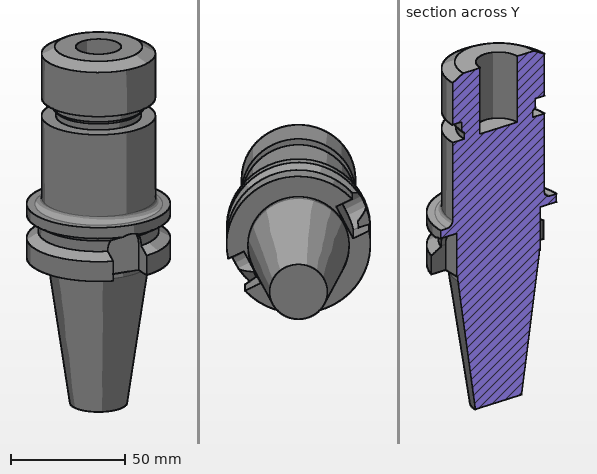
import cadquery as cq
import math

total_height = 165.4
taper_height = 65.3
flange_bottom = 67.5
flange_top = 92.5
body_top = 133.3
nut_bottom = 141.7

gauge_radius = 22.2
taper_ratio = 7 / 24
small_end_radius = gauge_radius - taper_height * taper_ratio / 2

flange_radius = 63.0 / 2
groove_radius = 26.5
groove_floor_bottom = 79.5
groove_floor_top = 84.5
groove_side_slope = math.tan(math.radians(30))
groove_side_rise = (flange_radius - groove_radius) * groove_side_slope

body_radius = 25.0
body_fillet = 3.0
neck_radius = 18.7
collar_radius = 20.2
collar_bottom = 137.6
collar_chamfer = collar_radius - neck_radius
nut_face_radius = 19.2
nut_chamfer_height = 3.1

bore_radius = 10.0
bore_depth = total_height - body_top

keyway_width = 16.4
keyway_top = 88.3
keyway_floor = 22.7


def make_turned_body():
    """Revolve the half outline about Z."""
    fillet_mid = body_fillet * (1 - math.sqrt(0.5))
    outline = (
        cq.Workplane("XZ")
        .moveTo(0, 0)
        .lineTo(small_end_radius, 0)
        .lineTo(gauge_radius, taper_height)
        .lineTo(gauge_radius, flange_bottom)
        .lineTo(flange_radius, flange_bottom)
        .lineTo(flange_radius, groove_floor_bottom - groove_side_rise)
        .lineTo(groove_radius, groove_floor_bottom)
        .lineTo(groove_radius, groove_floor_top)
        .lineTo(flange_radius, groove_floor_top + groove_side_rise)
        .lineTo(flange_radius, flange_top)
        .lineTo(body_radius + body_fillet, flange_top)
        .threePointArc(
            (body_radius + fillet_mid, flange_top + fillet_mid),
            (body_radius, flange_top + body_fillet),
        )
        .lineTo(body_radius, body_top)
        .lineTo(neck_radius, body_top)
        .lineTo(neck_radius, collar_bottom - collar_chamfer)
        .lineTo(collar_radius, collar_bottom)
        .lineTo(collar_radius, nut_bottom)
        .lineTo(body_radius, nut_bottom)
        .lineTo(body_radius, total_height - nut_chamfer_height)
        .lineTo(nut_face_radius, total_height)
        .lineTo(0, total_height)
        .close()
    )
    return outline.revolve(360, (0, 0, 0), (0, 1, 0))


def make_bore():
    """Blind hole down from the nut face."""
    return (
        cq.Workplane("XY")
        .workplane(offset=total_height - bore_depth)
        .circle(bore_radius)
        .extrude(bore_depth)
    )


def make_keyway(side):
    """Round-topped slot open to the flange underside; side is -1 or +1 along X."""
    half_width = keyway_width / 2
    arc_center_height = keyway_top - half_width
    return (
        cq.Workplane("YZ")
        .workplane(offset=side * keyway_floor)
        .moveTo(-half_width, flange_bottom)
        .lineTo(half_width, flange_bottom)
        .lineTo(half_width, arc_center_height)
        .threePointArc((0, keyway_top), (-half_width, arc_center_height))
        .close()
        .extrude(side * flange_radius)
    )


result = make_turned_body().cut(make_bore())
for side in (-1, 1):
    result = result.cut(make_keyway(side))